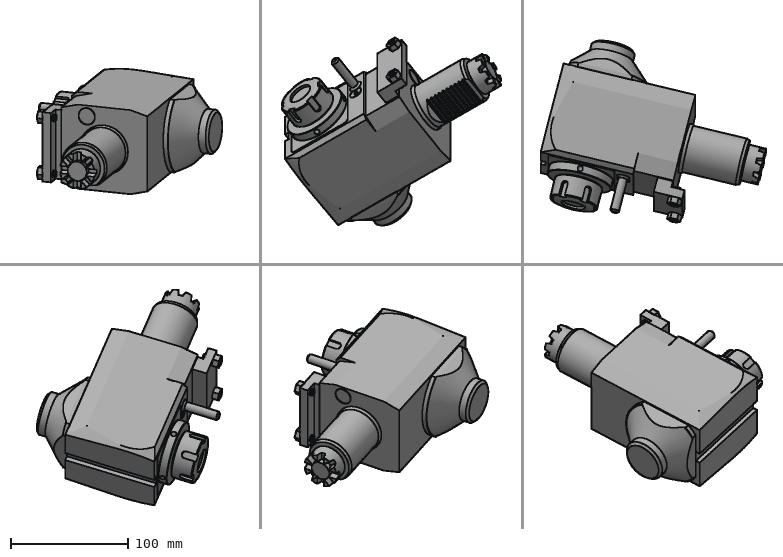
import cadquery as cq
import math


embed = 1.8
far = 184.0

body_length = 116.0
half_height = 37.5
edge_half_height = 33.5
bevel_drop = half_height - edge_half_height
bevel_angle = math.radians(15)
bevel_run = bevel_drop / math.tan(bevel_angle)
side_x = 39.0
spindle_face_x = 42.0
front_portion_length = 34.8
key_slot_depth = 4.0
key_slot_width = 10.7
plug_x = -16.0
plug_z = 27.8
plug_radius = 7.4
plug_recess = 0.5

back_bevel_length = 12.3
crest_x = -7.4
back_crest = 36.2
inner_left = 36.5
inner_crest = 40.1
inner_right = 36.2

spindle_y = 80.0
seat_length = 58.1
seat_width = 63.0
seat_corner = 4.5
seat_height = 0.4
ring_radius = 28.0
ring_start = 42.5
ring_end = 50.2
ring_edge = 0.4
ring_hole_radius = 2.4
ring_holes = 4
neck_radius = 16.5
nut_radius = 20.8
nut_start = 51.2
nut_back_chamfer = 1.0
nut_shoulder = 69.5
nut_end = 71.8
nut_face_radius = 14.9
nut_cone_radius = 20.0
nut_cone_end = 70.5
bore_radius = 10.3
bore_depth = 2.2
wrench_slots = 6
wrench_slot_width = 6.0
wrench_slot_floor = 17.8
wrench_slot_end = 57.5
side_slot_end = 59.5

pin_y = 43.2
pin_z = 17.7
pin_radius = 3.9
pin_end = 74.2
pin_chamfer = 1.5
collar_radius = 5.7
collar_height = 2.0
nozzle_z = 7.7
nozzle_hole_radius = 1.7
nozzle_hole_depth = 5.5
nozzle_recess = 0.4

cap_radius = 40.1
cap_plate_end = 43.0
cap_half_height = 32.4
cap_back_y = 111.5
cap_stub_start = 63.3
cap_stub_radius = 19.1
cap_end = 72.0
cap_chamfer = 2.2

bracket_half_width = 31.0
bracket_outer_x = -52.0
bracket_leg_x = -44.3
bracket_foot_back = 14.0
bracket_foot_front = 0.5
bracket_front = -11.0
screw_y = -4.8
screw_z = 25.0
hex_flats = 10.3
hex_height = 5.3
stud_radius = 3.1
stud_rise = 1.0
stud_socket_radius = 1.7
stud_socket_depth = 2.2
stud_end_x = -42.1
stud_chamfer = 0.7

flange_radius = 21.5
flange_length = 3.1
flange_rim = 1.8
shank_radius = 20.5
shank_end = 52.8
shank_chamfer_length = 2.8
shank_chamfer = 1.1
rack_flat = 15.8
rack_start = 6.5
rack_pitch = 4.0
rack_depth = 0.7
rack_root = 0.7
rack_opening = 2.2
rack_first = 9.4
rack_grooves = 10

drive_neck_radius = 12.5
drive_start = 53.7
drive_radius = 15.8
drive_end = 68.0
drive_core_radius = 8.6
drive_slots = 8
drive_slot_depth = 5.0
drive_slot_mouth = 6.6
drive_slot_floor = 3.5


def along_y(points):
    """Revolve (radius, distance) points about Y, distances running along -Y."""
    outline = [(r, -d) for r, d in points]
    return cq.Workplane("XY").polyline(outline).close().revolve(360, (0, 0), (0, 1))


def x_cylinder(radius, x_from, x_to, y, z):
    """Cylinder parallel to X between two X positions."""
    return cq.Workplane("YZ", origin=(x_from, y, z)).circle(radius).extrude(x_to - x_from)


def body_section(left_x, left_run):
    """Cross-section of the body, with bevelled corners on the left and the right."""
    upper = [
        (left_x, edge_half_height),
        (left_x + left_run, half_height),
        (side_x - bevel_run, half_height),
        (side_x, edge_half_height),
    ]
    lower = [(x, -z) for x, z in reversed(upper)]
    return cq.Workplane("XZ").polyline(upper + lower).close()


def back_bevel():
    """Tool for the bevel along the upper back edge: a ruled surface between two outlines.

    Each outline is straight over the right part and curves down on the left.
    """
    ceiling = inner_crest + embed

    def region(plane, left_z, crest_z, right_z):
        return (
            plane.moveTo(side_x, right_z)
            .lineTo(crest_x, crest_z)
            .tangentArcPoint((-spindle_face_x, left_z), relative=False)
            .lineTo(-spindle_face_x, ceiling)
            .lineTo(side_x, ceiling)
            .close()
        )

    plane = cq.Workplane("XZ", origin=(0, body_length, 0))
    back = region(plane, edge_half_height, back_crest, edge_half_height)
    both = region(back.workplane(offset=back_bevel_length), inner_left, inner_crest, inner_right)
    return both.loft(ruled=True)


def make_body():
    front = body_section(-side_x, bevel_run).extrude(-front_portion_length)
    rear = body_section(-spindle_face_x, bevel_drop).extrude(-body_length)
    rear = rear.intersect(
        cq.Workplane("XY").box(far, body_length, far).translate(
            (0, front_portion_length + body_length / 2, 0)
        )
    )
    body = front.union(rear)
    bevel = back_bevel()
    body = body.cut(bevel).cut(bevel.mirror("XY"))
    key_slot = cq.Workplane("XY").box(far, 2 * key_slot_depth, key_slot_width)
    body = body.cut(key_slot.translate((0, body_length, 0)))
    plug = cq.Workplane("XZ").center(plug_x, plug_z).circle(plug_radius).extrude(-plug_recess)
    return body.cut(plug)


def make_spindle():
    seat = (
        cq.Workplane("YZ", origin=(-spindle_face_x - seat_height, spindle_y, 0))
        .rect(seat_length, seat_width)
        .extrude(seat_height + embed)
        .edges("|X")
        .fillet(seat_corner)
    )
    turned = (
        cq.Workplane("XY", origin=(0, spindle_y, 0))
        .moveTo(-side_x, 0)
        .lineTo(-side_x, ring_radius - ring_edge)
        .lineTo(-ring_start, ring_radius - ring_edge)
        .lineTo(-ring_start - ring_edge, ring_radius)
        .lineTo(-ring_end + ring_edge, ring_radius)
        .lineTo(-ring_end, ring_radius - ring_edge)
        .lineTo(-ring_end, neck_radius)
        .lineTo(-nut_start, neck_radius)
        .lineTo(-nut_start, nut_radius - nut_back_chamfer)
        .lineTo(-nut_start - nut_back_chamfer, nut_radius)
        .lineTo(-nut_shoulder, nut_radius)
        .lineTo(-nut_cone_end, nut_cone_radius)
        .lineTo(-nut_end, nut_face_radius)
        .lineTo(-nut_end, bore_radius)
        .lineTo(-nut_end + bore_depth, bore_radius)
        .lineTo(-nut_end + bore_depth, 0)
        .close()
        .revolve(360, (0, 0), (1, 0))
    )
    axis_start = (0, spindle_y, 0)
    axis_end = (1, spindle_y, 0)
    for i in range(wrench_slots):
        faces_sideways = i % (wrench_slots // 2) == 0
        slot_end = side_slot_end if faces_sideways else wrench_slot_end
        slot = (
            cq.Workplane("XY", origin=(-nut_end, spindle_y, wrench_slot_floor))
            .slot2D(2 * (nut_end - slot_end), wrench_slot_width)
            .extrude(nut_radius)
        )
        turned = turned.cut(slot.rotate(axis_start, axis_end, 90 + i * 360 / wrench_slots))
    countersink = cq.Workplane("XY").add(
        cq.Solid.makeCone(
            0,
            ring_hole_radius,
            ring_hole_radius,
            pnt=cq.Vector(-(ring_start + ring_end) / 2, spindle_y, ring_radius - ring_hole_radius),
        )
    )
    for i in range(ring_holes):
        turned = turned.cut(countersink.rotate(axis_start, axis_end, i * 360 / ring_holes))
    return seat.union(turned)


def make_pin():
    face = spindle_face_x
    outline = [
        (-side_x, 0),
        (-side_x, collar_radius),
        (-face, collar_radius),
        (-face - collar_height, pin_radius),
        (-pin_end + pin_chamfer, pin_radius),
        (-pin_end, pin_radius - pin_chamfer),
        (-pin_end, 0),
    ]
    plane = cq.Workplane("XY", origin=(0, pin_y, pin_z))
    return plane.polyline(outline).close().revolve(360, (0, 0), (1, 0))


def make_nozzle_cut():
    recess = x_cylinder(
        collar_radius, -spindle_face_x, -spindle_face_x + nozzle_recess, pin_y, nozzle_z
    )
    hole = x_cylinder(
        nozzle_hole_radius, -spindle_face_x, -spindle_face_x + nozzle_hole_depth, pin_y, nozzle_z
    )
    return recess.union(hole)


def make_cap():
    cone_start_radius = cap_stub_radius + cap_stub_start - cap_plate_end
    outline = [
        (side_x - embed, 0),
        (side_x - embed, cap_radius),
        (cap_plate_end, cap_radius),
        (cap_plate_end, cone_start_radius),
        (cap_stub_start, cap_stub_radius),
        (cap_end - cap_chamfer, cap_stub_radius),
        (cap_end, cap_stub_radius - cap_chamfer),
        (cap_end, 0),
    ]
    cap = (
        cq.Workplane("XY", origin=(0, spindle_y, 0))
        .polyline(outline)
        .close()
        .revolve(360, (0, 0), (1, 0))
    )
    tip_half_height = cap_half_height - (cap_end - cap_plate_end) * math.tan(bevel_angle)
    upper = [
        (side_x - embed, cap_half_height),
        (cap_plate_end, cap_half_height),
        (cap_end, tip_half_height),
    ]
    lower = [(x, -z) for x, z in reversed(upper)]
    envelope = (
        cq.Workplane("XZ", origin=(0, cap_back_y, 0))
        .polyline(upper + lower)
        .close()
        .extrude(2 * cap_back_y)
    )
    return cap.intersect(envelope)


def make_bracket():
    outline = [
        (-side_x + embed, bracket_foot_back),
        (bracket_outer_x, bracket_foot_back),
        (bracket_outer_x, bracket_front),
        (bracket_leg_x, bracket_front),
        (bracket_leg_x, bracket_foot_front),
        (-side_x + embed, bracket_foot_front),
    ]
    bracket = (
        cq.Workplane("XY")
        .polyline(outline)
        .close()
        .extrude(bracket_half_width, both=True)
    )
    hex_corners = hex_flats / math.cos(math.radians(30))
    stud_tip = bracket_outer_x - hex_height - stud_rise
    for z in (-screw_z, screw_z):
        nut = (
            cq.Workplane("YZ", origin=(bracket_outer_x, screw_y, z))
            .polygon(6, hex_corners)
            .extrude(-hex_height)
        )
        stud = x_cylinder(stud_radius, stud_tip, stud_end_x, screw_y, z)
        stud = stud.faces(">X").chamfer(stud_chamfer)
        socket = x_cylinder(
            stud_socket_radius, stud_tip, stud_tip + stud_socket_depth, screw_y, z
        )
        bracket = bracket.union(nut).union(stud).cut(socket)
    return bracket


def make_rack_cut():
    """Flat under the shank with a sloped run-out at the body end, and tooth grooves."""
    runout = shank_radius - rack_flat
    flat_outline = [
        (-rack_start, -shank_radius - embed),
        (-rack_start, -shank_radius),
        (-rack_start - runout, -rack_flat),
        (-shank_end, -rack_flat),
        (-shank_end, -shank_radius - embed),
    ]
    cut = (
        cq.Workplane("YZ").polyline(flat_outline).close().extrude(shank_radius, both=True)
    )
    for i in range(rack_grooves):
        y = -rack_first - (i + 0.5) * rack_pitch
        groove = [
            (y - rack_opening / 2, -rack_flat),
            (y - rack_root / 2, -rack_flat + rack_depth),
            (y + rack_root / 2, -rack_flat + rack_depth),
            (y + rack_opening / 2, -rack_flat),
        ]
        cut = cut.union(
            cq.Workplane("YZ").polyline(groove).close().extrude(shank_radius, both=True)
        )
    return cut


def make_shank():
    flange = (
        cq.Workplane("XY")
        .moveTo(0, 0)
        .lineTo(flange_radius, 0)
        .lineTo(flange_radius, -flange_rim)
        .tangentArcPoint((shank_radius, -flange_length), relative=False)
        .lineTo(0, -flange_length)
        .close()
        .revolve(360, (0, 0), (0, 1))
    )
    shank = along_y([
        (0, 0),
        (shank_radius, 0),
        (shank_radius, shank_end - shank_chamfer_length),
        (shank_radius - shank_chamfer, shank_end),
        (0, shank_end),
    ])
    drive = along_y([
        (0, 0),
        (drive_neck_radius, 0),
        (drive_neck_radius, drive_start),
        (drive_radius, drive_start),
        (drive_radius, drive_end),
        (0, drive_end),
    ])
    core = along_y([(0, 0), (drive_core_radius, 0), (drive_core_radius, drive_end), (0, drive_end)])
    slot_outline = [
        (-drive_slot_mouth / 2, -drive_end),
        (-drive_slot_floor / 2, -drive_end + drive_slot_depth),
        (drive_slot_floor / 2, -drive_end + drive_slot_depth),
        (drive_slot_mouth / 2, -drive_end),
    ]
    slot = cq.Workplane("XY").polyline(slot_outline).close().extrude(drive_radius + embed)
    for i in range(drive_slots):
        drive = drive.cut(slot.rotate((0, 0, 0), (0, 1, 0), i * 360 / drive_slots))
    return shank.cut(make_rack_cut()).union(flange).union(drive).union(core)


result = (
    make_body()
    .cut(make_nozzle_cut())
    .union(make_spindle())
    .union(make_pin())
    .union(make_cap())
    .union(make_bracket())
    .union(make_shank())
)